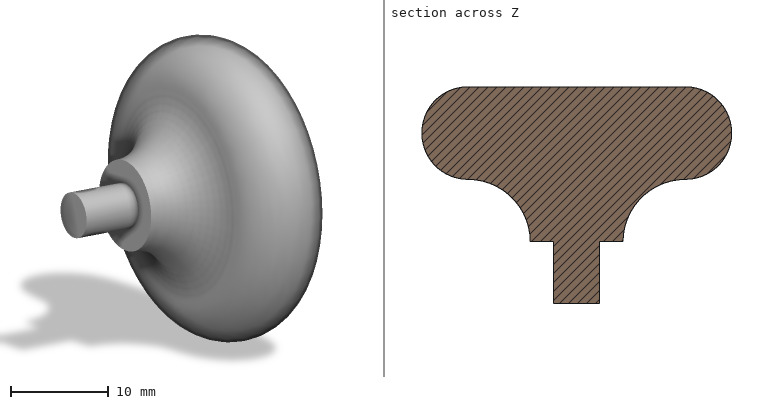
import cadquery as cq
import math

head_diameter = 31.76
head_thickness = 9.52
neck_length = 6.35
stud_diameter = 4.76
stud_length = 6.35

head_radius = head_diameter / 2
rim_radius = head_thickness / 2
face_radius = head_radius - rim_radius
flare_radius = neck_length
neck_radius = face_radius - flare_radius
stud_radius = stud_diameter / 2

neck_end = 0
stud_end = neck_end - stud_length
head_front = neck_end + neck_length
head_middle = head_front + rim_radius
head_back = head_front + head_thickness

flare_offset = flare_radius * math.cos(math.radians(45))
flare_middle = (face_radius - flare_offset, neck_end + flare_offset)


def make_knob():
    """Revolve the half profile (radius, Y) of stud, neck and head."""
    profile = (
        cq.Workplane("XY")
        .moveTo(0, stud_end)
        .lineTo(stud_radius, stud_end)
        .lineTo(stud_radius, neck_end)
        .lineTo(neck_radius, neck_end)
        .threePointArc(flare_middle, (face_radius, head_front))
        .threePointArc((head_radius, head_middle), (face_radius, head_back))
        .lineTo(0, head_back)
        .close()
    )
    return profile.revolve(360, (0, 0, 0), (0, 1, 0))


result = make_knob()